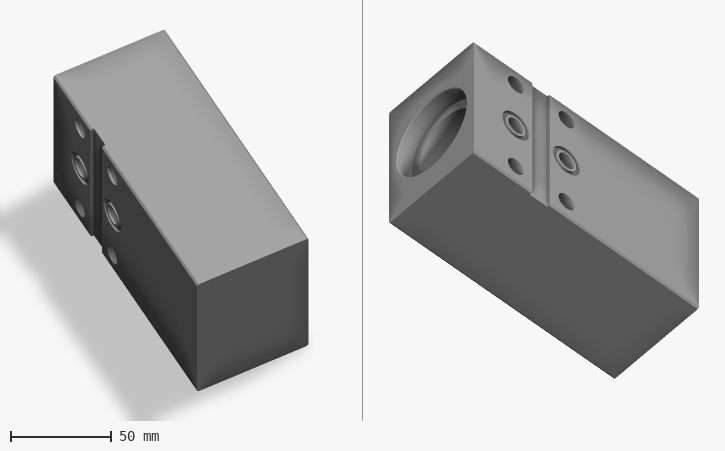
import cadquery as cq

length = 151.0
depth = 63.0
height = 85.0
edge_chamfer = 1.0
front_y = -depth / 2

bore_diameter = 40.0
bore_end_wall = 26.0
counterbore_diameter = 51.2
counterbore_depth = 10.0
mouth_chamfer = 0.5

keyway_center_x = 45.0
keyway_width = 12.0
keyway_depth = 2.0

column_spacing = 34.0
column_xs = (keyway_center_x - column_spacing / 2, keyway_center_x + column_spacing / 2)
mounting_hole_diameter = 10.5
mounting_row_spacing = 63.0
mounting_row_zs = (-mounting_row_spacing / 2, mounting_row_spacing / 2)

port_diameter = 10.0
port_depth = 5.0
groove_outer_diameter = 18.0
groove_inner_diameter = 13.0
groove_depth = 1.5


def cylinder_y(diameter, x, z, cylinder_length):
    """Cylinder along Y, running inward from the front face."""
    plane = cq.Plane(origin=(x, front_y, z), xDir=(1, 0, 0), normal=(0, 1, 0))
    return cq.Workplane(plane).circle(diameter / 2).extrude(cylinder_length)


def make_block():
    """Rectangular block with its four long edges chamfered."""
    block = cq.Workplane("XY").box(length, depth, height, centered=(False, True, True))
    return block.edges("|X").chamfer(edge_chamfer)


def make_bore():
    """Blind bore with its counterbore and tapered mouth, as a cutting tool."""
    bore_radius = bore_diameter / 2
    counterbore_radius = counterbore_diameter / 2
    bore_end_x = length - bore_end_wall
    profile = [
        (0, 0),
        (0, counterbore_radius + mouth_chamfer),
        (mouth_chamfer, counterbore_radius),
        (counterbore_depth, counterbore_radius),
        (counterbore_depth, bore_radius),
        (bore_end_x, bore_radius),
        (bore_end_x, 0),
    ]
    return cq.Workplane("XY").polyline(profile).close().revolve(360, (0, 0), (1, 0))


def make_keyway():
    """Full-height slot across the front face, as a cutting tool."""
    keyway = cq.Workplane("XY").box(keyway_width, keyway_depth, height)
    return keyway.translate((keyway_center_x, front_y + keyway_depth / 2, 0))


def make_port(x):
    """Blind drilling plus its ring groove, as a cutting tool."""
    drilling = cylinder_y(port_diameter, x, 0, port_depth)
    groove_outer = cylinder_y(groove_outer_diameter, x, 0, groove_depth)
    groove_core = cylinder_y(groove_inner_diameter, x, 0, groove_depth)
    return drilling.union(groove_outer.cut(groove_core))


result = make_block().cut(make_bore()).cut(make_keyway())
for column_x in column_xs:
    result = result.cut(make_port(column_x))
    for row_z in mounting_row_zs:
        result = result.cut(cylinder_y(mounting_hole_diameter, column_x, row_z, depth))